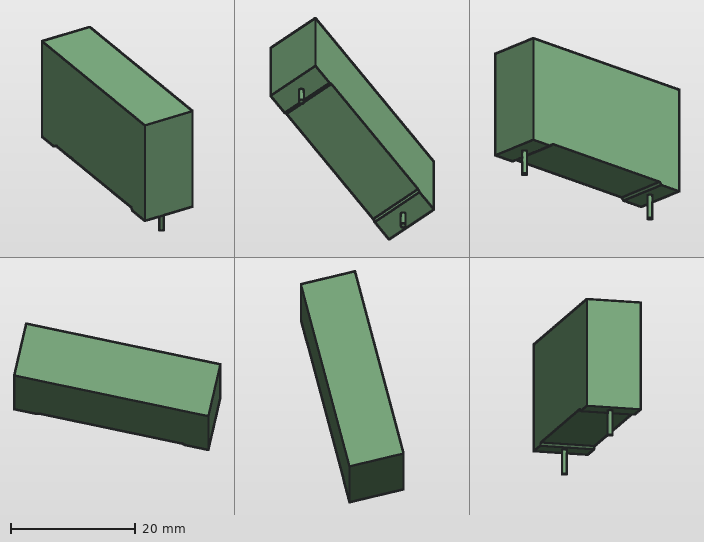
import cadquery as cq

body_length = 32.0
body_width = 9.0
overall_height = 21.7

pin_diameter = 0.8
pin_length = 4.0
pin_pitch = 27.5
pin_embed = 1.0

left_foot_length = 3.8
right_foot_length = 3.9
relief_depth = 0.45
relief_roof_length = 23.4

body_height = overall_height - pin_length


def make_body():
    """Box standing on Z = 0, with the relief running through its full width."""
    half_length = body_length / 2
    half_roof = relief_roof_length / 2
    outline = [
        (-half_length, 0),
        (-half_length + left_foot_length, 0),
        (-half_roof, relief_depth),
        (half_roof, relief_depth),
        (half_length - right_foot_length, 0),
        (half_length, 0),
        (half_length, body_height),
        (-half_length, body_height),
    ]
    return cq.Workplane("XZ").polyline(outline).close().extrude(body_width / 2, both=True)


def make_pins():
    """Two leads on the body's centre plane, hanging below its feet."""
    return (
        cq.Workplane("XY", origin=(0, 0, -pin_length))
        .pushPoints([(-pin_pitch / 2, 0), (pin_pitch / 2, 0)])
        .circle(pin_diameter / 2)
        .extrude(pin_length + pin_embed)
    )


result = make_body().union(make_pins())